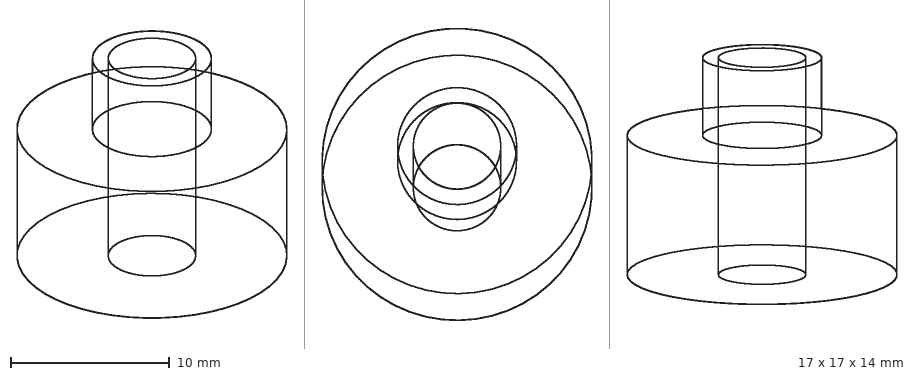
import cadquery as cq

body_diameter = 17.0
collar_diameter = 7.5
bore_diameter = 5.5
body_height = 9.0
total_height = 14.0

collar_height = total_height - body_height

body = cq.Workplane("XY").circle(body_diameter / 2).extrude(body_height)

collar = (
    cq.Workplane("XY")
    .workplane(offset=body_height)
    .circle(collar_diameter / 2)
    .extrude(collar_height)
)

bore = cq.Workplane("XY").circle(bore_diameter / 2).extrude(total_height)

result = body.union(collar).cut(bore)